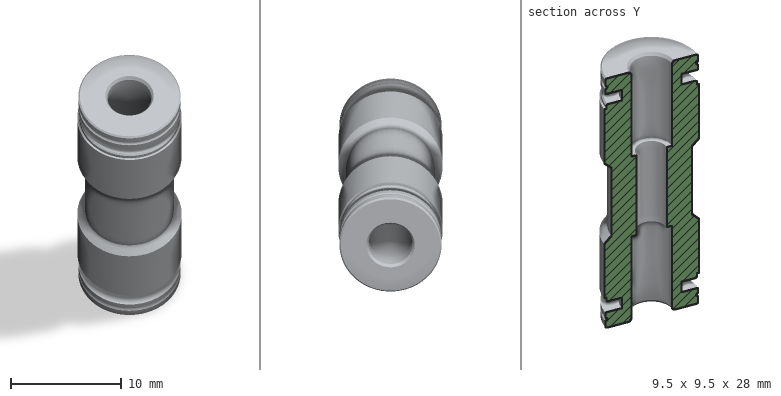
import cadquery as cq

length = 28.0

body_diameter = 9.5
waist_diameter = 8.05
lip_diameter = 9.1
neck_diameter = 6.0
collar_diameter = 9.3

groove_center = 1.0
collar_end = 1.8
lip_start = 2.9
body_start = 3.4
taper_start = 9.5

collar_chamfer = 0.15
groove_depth = 0.21
lip_chamfer = 0.15

through_diameter = 3.0
socket_diameter = 4.0
socket_depth = taper_start
socket_chamfer = 0.2
socket_chamfer_depth = 0.3

half_length = length / 2
body_radius = body_diameter / 2
waist_radius = waist_diameter / 2
lip_radius = lip_diameter / 2
neck_radius = neck_diameter / 2
collar_radius = collar_diameter / 2
through_radius = through_diameter / 2
socket_radius = socket_diameter / 2

taper_end = taper_start + body_radius - waist_radius


def end_profile():
    """List the section points of one end, from the through hole round to the waist."""
    return [
        (through_radius, socket_depth),
        (socket_radius, socket_depth),
        (socket_radius, socket_chamfer_depth),
        (socket_radius + socket_chamfer, 0),
        (collar_radius - collar_chamfer, 0),
        (collar_radius, collar_chamfer),
        (collar_radius, groove_center - groove_depth),
        (collar_radius - groove_depth, groove_center),
        (collar_radius, groove_center + groove_depth),
        (collar_radius, collar_end),
        (neck_radius, collar_end),
        (neck_radius, lip_start),
        (lip_radius - lip_chamfer, lip_start),
        (lip_radius, lip_start + lip_chamfer),
        (lip_radius, body_start),
        (body_radius, body_start),
        (body_radius, taper_start),
        (waist_radius, taper_end),
    ]


def make_connector():
    """Revolve the closed section of both ends about the Z axis."""
    upper = [(radius, half_length - depth) for radius, depth in end_profile()]
    lower = [(radius, -height) for radius, height in reversed(upper)]
    section = cq.Workplane("XZ").polyline(upper + lower).close()
    return section.revolve(360, (0, 0), (0, 1))


result = make_connector()